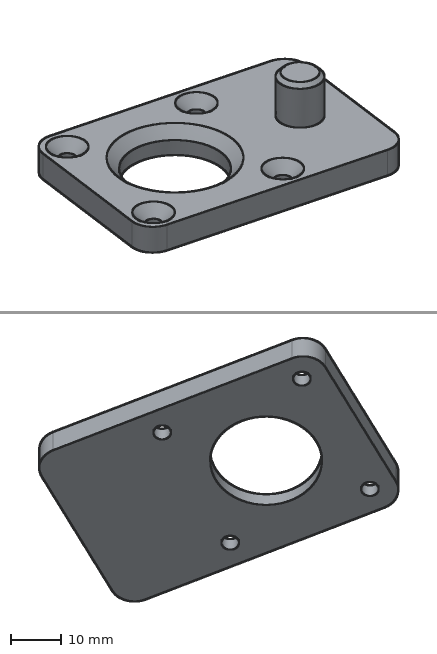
import cadquery as cq

plate_width = 42.0
plate_length = 63.0
plate_thickness = 6.0
corner_radius = 5.0
bore_to_front_edge = plate_width / 2

bore_diameter = 22.3
bore_chamfer = 2.5
bore_mouth_diameter = bore_diameter + 2 * bore_chamfer
bore_mouth_angle = 90.0

screw_spacing = 31.0
screw_diameter = 3.5
countersink_diameter = 8.5
countersink_angle = 90.0

pin_diameter = 9.8
pin_height = 10.0
pin_chamfer = 1.0
pin_to_bore = 30.0


def make_plate():
    plate_center_y = plate_length / 2 - bore_to_front_edge
    return (
        cq.Workplane("XY")
        .center(0, plate_center_y)
        .rect(plate_width, plate_length)
        .extrude(plate_thickness)
        .edges("|Z")
        .fillet(corner_radius)
    )


def make_pin():
    return (
        cq.Workplane("XY")
        .center(0, pin_to_bore)
        .circle(pin_diameter / 2)
        .extrude(plate_thickness + pin_height)
        .faces(">Z")
        .chamfer(pin_chamfer)
    )


def cut_screw_holes(plate):
    return (
        plate.faces(">Z")
        .workplane(origin=(0, 0, plate_thickness))
        .rect(screw_spacing, screw_spacing, forConstruction=True)
        .vertices()
        .cskHole(screw_diameter, countersink_diameter, countersink_angle)
    )


def cut_bore(plate):
    return (
        plate.faces(">Z")
        .workplane(origin=(0, 0, plate_thickness))
        .cskHole(bore_diameter, bore_mouth_diameter, bore_mouth_angle)
    )


result = cut_bore(cut_screw_holes(make_plate())).union(make_pin())